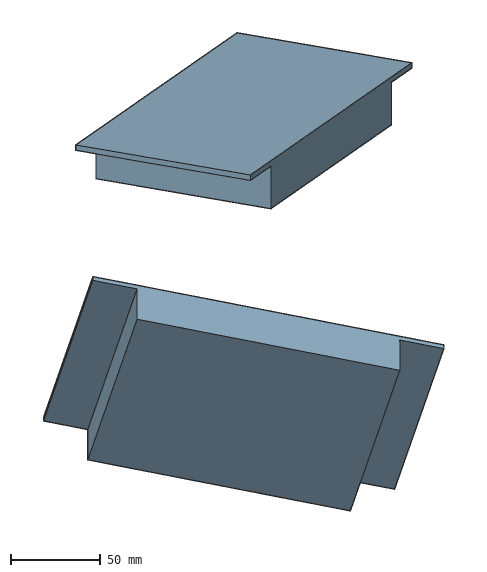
import cadquery as cq

width = 109.3
plate_length = 203.2
height = 28.7

plate_thickness = 3.3
overhang = 25.6
block_length = plate_length - 2 * overhang
block_height = height - plate_thickness

block = cq.Workplane("XY").box(width, block_length, block_height, centered=(True, True, False))

plate = (
    cq.Workplane("XY")
    .workplane(offset=block_height)
    .box(width, plate_length, plate_thickness, centered=(True, True, False))
)

result = block.union(plate)